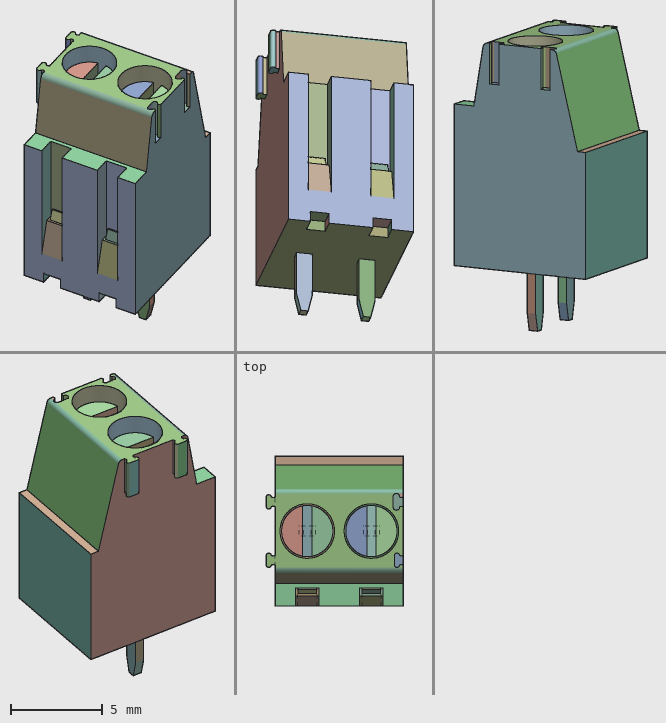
import cadquery as cq


overall_width = 7.5
overall_height = 16.1

body_width = 7.0
body_depth = 8.2
body_height = 12.59
pole_count = 2
pitch = body_width / pole_count
pole_centers = [pitch * (index + 0.5) for index in range(pole_count)]

front_ledge_depth = 1.22
front_ledge_height = 9.0
rear_ledge_depth = 0.5
rear_ledge_height = 7.07
top_front_y = 1.84
top_rear_y = 6.33
front_edge_radius = 0.3
rear_edge_radius = 0.25

screw_y = body_depth / 2
bore_diameter = 2.98
screw_diameter = 2.8
screw_recess = 1.03
screw_gap_depth = 1.0
driver_slot_width = 0.5
driver_slot_depth = 0.8

entry_width = 1.29
entry_depth = 0.98
entry_floor_height = 1.92
entry_ramp_depth = 0.55
entry_ramp_top = 3.85
throat_width = 1.01
throat_start_y = 0.68
throat_end_y = 0.9
throat_top = 4.41

notch_width = 1.05
notch_height = 0.6
notch_depth = 1.0

pin_length = overall_height - body_height
pin_width = 0.89
pin_thickness = 0.53
pin_y = body_depth / 2
pin_tip_width = 0.42
pin_tip_length = 1.0

hook_reach = overall_width - body_width
hook_height = 2.27
hook_spacing = 3.19
hook_neck_length = 0.21
hook_face_half = 0.27
hook_bulb_half = 0.395
hook_neck_half = 0.24
hook_root_half = 0.29
rear_socket_clearance = 0.06
front_hook_y = screw_y - hook_spacing / 2
rear_hook_y = screw_y + hook_spacing / 2


def make_housing():
    profile = [
        (0, 0),
        (body_depth, 0),
        (body_depth, rear_ledge_height),
        (body_depth - rear_ledge_depth, rear_ledge_height),
        (top_rear_y, body_height),
        (top_front_y, body_height),
        (front_ledge_depth, front_ledge_height),
        (0, front_ledge_height),
    ]
    housing = cq.Workplane("YZ").polyline(profile).close().extrude(body_width)
    top_edges = housing.faces(">Z").edges("|X")
    housing = top_edges.edges("<Y").fillet(front_edge_radius)
    return housing.faces(">Z").edges("|X").edges(">Y").fillet(rear_edge_radius)


def make_hook(root_x, center_y, clearance=0):
    """T-shaped hook pointing to -X from root_x, hanging down from the top face."""
    face_x = -hook_reach - clearance
    bulb_x = (face_x - hook_neck_length) / 2
    bulb_half = hook_bulb_half + clearance
    return (
        cq.Workplane("XY", origin=(root_x, center_y, body_height))
        .moveTo(0, hook_root_half)
        .threePointArc((-hook_neck_length / 2, hook_neck_half), (-hook_neck_length, hook_face_half))
        .threePointArc((bulb_x, bulb_half), (face_x, hook_face_half))
        .lineTo(face_x, -hook_face_half)
        .threePointArc((bulb_x, -bulb_half), (-hook_neck_length, -hook_face_half))
        .threePointArc((-hook_neck_length / 2, -hook_neck_half), (0, -hook_root_half))
        .close()
        .extrude(-hook_height)
    )


def make_screw_recess(center_x):
    """Bore above the screw head, with the thin gap around the head and the driver slot."""
    screw_top = body_height - screw_recess
    bore = (
        cq.Workplane("XY", origin=(center_x, screw_y, body_height))
        .circle(bore_diameter / 2)
        .extrude(-screw_recess - screw_gap_depth)
    )
    head = (
        cq.Workplane("XY", origin=(center_x, screw_y, screw_top))
        .circle(screw_diameter / 2)
        .extrude(-screw_gap_depth)
    )
    slot = (
        cq.Workplane("XY", origin=(center_x, screw_y, screw_top))
        .rect(driver_slot_width, screw_diameter)
        .extrude(-driver_slot_depth)
        .intersect(head)
    )
    return bore.cut(head).union(slot)


def extrude_across(profile, center_x, width):
    """Extrude a (Y, Z) profile along X, centred on center_x."""
    start = cq.Workplane("YZ", origin=(center_x - width / 2, 0, 0))
    return start.polyline(profile).close().extrude(width)


def make_entry_slot(center_x):
    """Open-topped wire slot with a ramped floor and a smaller ramp against its back wall."""
    slot_profile = [
        (0, entry_floor_height),
        (entry_ramp_depth, entry_ramp_top),
        (entry_depth, entry_ramp_top),
        (entry_depth, front_ledge_height),
        (0, front_ledge_height),
    ]
    ramp_profile = [
        (throat_start_y, entry_ramp_top),
        (entry_depth, entry_ramp_top),
        (entry_depth, throat_top),
        (throat_end_y, throat_top),
    ]
    slot = extrude_across(slot_profile, center_x, entry_width)
    return slot.cut(extrude_across(ramp_profile, center_x, throat_width))


def make_notch(center_x):
    return cq.Workplane("XY").box(
        notch_width, notch_depth, notch_height, centered=(True, False, False)
    ).translate((center_x, 0, 0))


def make_pin(center_x):
    taper_start = pin_tip_length - pin_length
    outline = [
        (-pin_width / 2, 0),
        (-pin_width / 2, taper_start),
        (-pin_tip_width / 2, -pin_length),
        (pin_tip_width / 2, -pin_length),
        (pin_width / 2, taper_start),
        (pin_width / 2, 0),
    ]
    plane = cq.Workplane("XZ", origin=(center_x, pin_y, 0))
    return plane.polyline(outline).close().extrude(pin_thickness / 2, both=True)


result = make_housing()

for hook_y in (front_hook_y, rear_hook_y):
    result = result.union(make_hook(0, hook_y))
result = result.cut(make_hook(body_width, front_hook_y))
result = result.cut(make_hook(body_width, rear_hook_y, rear_socket_clearance))

for pole_x in pole_centers:
    result = result.cut(make_screw_recess(pole_x))
    result = result.cut(make_entry_slot(pole_x))
    result = result.cut(make_notch(pole_x))
    result = result.union(make_pin(pole_x))